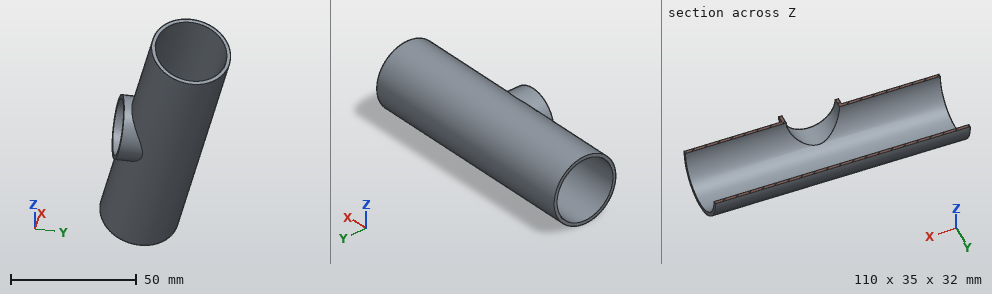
import cadquery as cq

run_length = 110.0
run_diameter = 32.0
wall = 1.5

branch_diameter = 26.0
branch_reach = 19.0


def run_cylinder(diameter):
    """Cylinder along X, centred on the origin."""
    return cq.Workplane("YZ").circle(diameter / 2).extrude(run_length / 2, both=True)


def branch_cylinder(diameter):
    """Cylinder from the run axis out to the branch end."""
    return cq.Workplane("XZ").circle(diameter / 2).extrude(branch_reach)


outside = run_cylinder(run_diameter).union(branch_cylinder(branch_diameter))

result = (
    outside
    .cut(run_cylinder(run_diameter - 2 * wall))
    .cut(branch_cylinder(branch_diameter - 2 * wall))
)